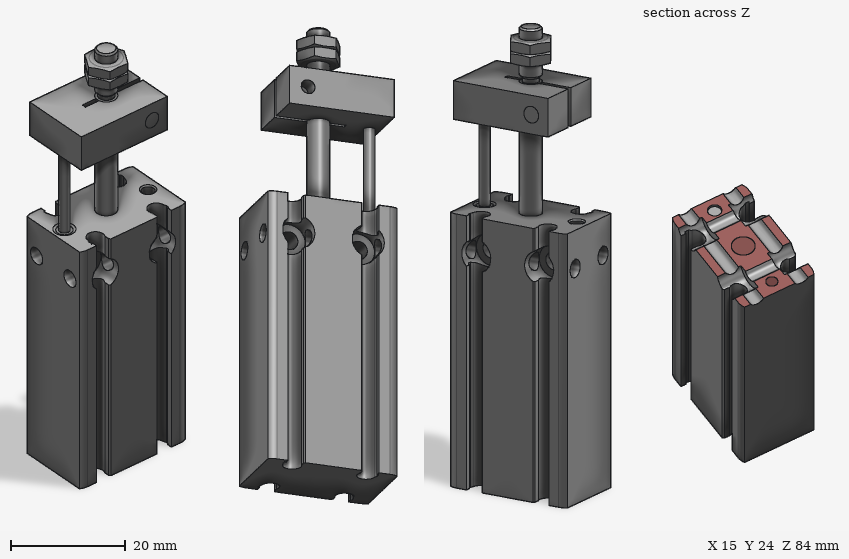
import cadquery as cq
import math

TOTAL_Z = 84.0

HOUSING_X = 15.0
HOUSING_Y = 24.0
HOUSING_Z = 50.0
CORNER_X = 0.4
CORNER_Y = 1.5

SLOT_DIA = 3.3
SLOT_Y = 6.9
SLOT_AXIS_DEPTH = 2.2
MOUTH_INNER_Y = 5.5
MOUTH_OUTER_Y = 8.5
UNDERCUT_START = 1.0
UNDERCUT_FLAT_END = 1.7
UNDERCUT_END = 2.4
UNDERCUT_Y = 8.7
LIP_BEVEL_X = 0.3
LIP_BEVEL_Y = 0.25

MOUNT_DROP = 7.0
MOUNT_DIA = 3.3
SIDE_HOLE_Y = 6.5
FRONT_HOLE_X = 4.5
COUNTERBORE_DIA = 6.0
COUNTERBORE_DEPTH = 4.8

TOP_HOLE_Y = 9.5
TOP_HOLE_DEPTH = 8.4
THREAD_HOLE_DIA = 2.4
THREAD_MOUTH_DIA = 3.0
THREAD_MOUTH_DEPTH = 0.25
GUIDE_DIA = 2.0
GUIDE_MOUTH_DIA = 4.0
GUIDE_FLOOR_DIA = 3.0
GUIDE_MOUTH_DEPTH = 0.2

PLATE_GAP = 17.0
PLATE_X = 14.0
PLATE_Z = 7.05
PLATE_FRONT = 11.5
PLATE_BACK = 8.0
SLIT_WIDTH = 0.8
SLIT_FRONT = 5.0

SCREW_Y = 4.5
SCREW_DIA = 3.0
SCREW_TIP_DIA = 2.5
SCREW_RECESS = 3.4

ROD_DIA = 4.0
ROD_INSERTION = 8.4
NECK_DIA = 3.0
NECK_LENGTH = 0.75
ROD_TIP_CHAMFER = 0.3

NUT_COUNT = 2
NUT_SIDES = 6
NUT_FLATS = 7.0
NUT_THICKNESS = 2.2
NUT_FACE_DIA = 6.0
NUT_CHAMFER_ANGLE = 15
NUT_CLEARANCE = 3.6

FACE_X = HOUSING_X / 2
FACE_Y = HOUSING_Y / 2
MOUNT_Z = HOUSING_Z - MOUNT_DROP
PLATE_BOTTOM = HOUSING_Z + PLATE_GAP
PLATE_TOP = PLATE_BOTTOM + PLATE_Z
SCREW_Z = PLATE_BOTTOM + PLATE_Z / 2
ROD_BOTTOM = HOUSING_Z - ROD_INSERTION
GUIDE_BOTTOM = HOUSING_Z - TOP_HOLE_DEPTH


def cylinder_x(dia, start, end, y, z):
    return cq.Workplane("YZ", origin=(start, y, z)).circle(dia / 2).extrude(end - start)


def cylinder_y(dia, start, end, x, z):
    return cq.Workplane("XZ", origin=(x, start, z)).circle(dia / 2).extrude(start - end)


def cylinder_z(dia, bottom, top, x=0, y=0):
    return cq.Workplane("XY", origin=(x, y, bottom)).circle(dia / 2).extrude(top - bottom)


def turned(profile):
    """Solid of revolution about Z from (radius, z) points."""
    return cq.Workplane("XZ").polyline(profile).close().revolve(360, (0, 0, 0), (0, 1, 0))


def housing_block():
    arc_radius = (CORNER_X**2 + CORNER_Y**2) / (2 * CORNER_X)
    half_angle = math.asin(CORNER_Y / arc_radius) / 2
    arc_start_y = FACE_Y - CORNER_Y
    arc_middle = (
        FACE_X - arc_radius * (1 - math.cos(half_angle)),
        arc_start_y + arc_radius * math.sin(half_angle),
    )
    quarter = (
        cq.Workplane("XY")
        .lineTo(FACE_X, 0)
        .lineTo(FACE_X, arc_start_y)
        .threePointArc(arc_middle, (FACE_X - CORNER_X, FACE_Y))
        .lineTo(0, FACE_Y)
        .close()
        .extrude(HOUSING_Z)
    )
    half = quarter.union(quarter.mirror("YZ"))
    return half.union(half.mirror("XZ")).clean()


def sensor_slot():
    """The slot on the +X side toward +Y: a mouth with an undercut outer wall, ending in a round channel."""
    axis_x = FACE_X - SLOT_AXIS_DEPTH
    mouth = (
        cq.Workplane("XY")
        .polyline([
            (axis_x, MOUTH_INNER_Y),
            (FACE_X - LIP_BEVEL_X, MOUTH_INNER_Y),
            (FACE_X, MOUTH_INNER_Y - LIP_BEVEL_Y),
            (FACE_X, MOUTH_OUTER_Y),
            (FACE_X - UNDERCUT_START, MOUTH_OUTER_Y),
            (FACE_X - UNDERCUT_START, UNDERCUT_Y),
            (FACE_X - UNDERCUT_FLAT_END, UNDERCUT_Y),
            (FACE_X - UNDERCUT_END, MOUTH_OUTER_Y),
        ])
        .close()
        .extrude(HOUSING_Z)
    )
    return mouth.union(cylinder_z(SLOT_DIA, 0, HOUSING_Z, axis_x, SLOT_Y))


def side_counterbore():
    """The counterbore on the +X side toward +Y."""
    return cylinder_x(COUNTERBORE_DIA, FACE_X - COUNTERBORE_DEPTH, FACE_X, SIDE_HOLE_Y, MOUNT_Z)


def four_corners(cutter):
    pair = [cutter, cutter.mirror("YZ")]
    return pair + [item.mirror("XZ") for item in pair]


def mounting_holes():
    holes = []
    for side in (-1, 1):
        holes.append(cylinder_x(MOUNT_DIA, -FACE_X, FACE_X, side * SIDE_HOLE_Y, MOUNT_Z))
        holes.append(cylinder_y(MOUNT_DIA, -FACE_Y, FACE_Y, side * FRONT_HOLE_X, MOUNT_Z))
    return holes


def thread_hole():
    bottom = HOUSING_Z - TOP_HOLE_DEPTH
    hole = turned([
        (0, bottom),
        (THREAD_HOLE_DIA / 2, bottom),
        (THREAD_HOLE_DIA / 2, HOUSING_Z - THREAD_MOUTH_DEPTH),
        (THREAD_MOUTH_DIA / 2, HOUSING_Z),
        (0, HOUSING_Z),
    ])
    return hole.translate((0, TOP_HOLE_Y, 0))


def guide_hole():
    """A close hole for the guide rod, below a shallow flat-floored countersink."""
    floor_z = HOUSING_Z - GUIDE_MOUTH_DEPTH
    countersink = turned([
        (0, floor_z),
        (GUIDE_FLOOR_DIA / 2, floor_z),
        (GUIDE_MOUTH_DIA / 2, HOUSING_Z),
        (0, HOUSING_Z),
    ])
    return countersink.union(cylinder_z(GUIDE_DIA, GUIDE_BOTTOM, HOUSING_Z)).translate((0, -TOP_HOLE_Y, 0))


def make_housing():
    housing = housing_block()
    cutters = four_corners(sensor_slot()) + four_corners(side_counterbore()) + mounting_holes()
    cutters += [thread_hole(), guide_hole(), cylinder_z(ROD_DIA, ROD_BOTTOM, HOUSING_Z)]
    for cutter in cutters:
        housing = housing.cut(cutter)
    return housing


def make_screw():
    tip_start = SCREW_RECESS - PLATE_X / 2
    shank_start = -SLIT_WIDTH / 2
    tip = cylinder_x(SCREW_TIP_DIA, tip_start, shank_start, SCREW_Y, SCREW_Z)
    shank = cylinder_x(SCREW_DIA, shank_start, PLATE_X / 2, SCREW_Y, SCREW_Z)
    return tip.union(shank)


def plate_slab(width, front):
    """A slab as thick as the plate, from the given distance in front of the rod to the plate's back."""
    corner = (0, -front, PLATE_BOTTOM)
    return cq.Workplane("XY", origin=corner).box(width, front + PLATE_BACK, PLATE_Z, (True, False, False))


def make_plate(screw):
    plate = plate_slab(PLATE_X, PLATE_FRONT)
    slit = plate_slab(SLIT_WIDTH, SLIT_FRONT)
    rod_hole = cylinder_z(ROD_DIA, PLATE_BOTTOM, PLATE_TOP)
    tip_hole = cylinder_x(SCREW_TIP_DIA, -PLATE_X / 2, 0, SCREW_Y, SCREW_Z)
    return plate.cut(slit).cut(rod_hole).cut(tip_hole).cut(screw)


def make_piston_rod():
    neck_top = PLATE_TOP + NECK_LENGTH
    neck_step = (ROD_DIA - NECK_DIA) / 2
    return turned([
        (0, ROD_BOTTOM),
        (ROD_DIA / 2, ROD_BOTTOM),
        (ROD_DIA / 2, PLATE_TOP),
        (NECK_DIA / 2, PLATE_TOP),
        (NECK_DIA / 2, neck_top),
        (ROD_DIA / 2, neck_top + neck_step),
        (ROD_DIA / 2, TOTAL_Z - ROD_TIP_CHAMFER),
        (ROD_DIA / 2 - ROD_TIP_CHAMFER, TOTAL_Z),
        (0, TOTAL_Z),
    ])


def make_guide_rod():
    return cylinder_z(GUIDE_DIA, GUIDE_BOTTOM, PLATE_BOTTOM, 0, -TOP_HOLE_Y)


def make_nut(bottom):
    top = bottom + NUT_THICKNESS
    corner_radius = NUT_FLATS / 2 / math.cos(math.pi / NUT_SIDES)
    face_radius = NUT_FACE_DIA / 2
    rise = (corner_radius - face_radius) * math.tan(math.radians(NUT_CHAMFER_ANGLE))
    hexagon = (
        cq.Workplane("XY", origin=(0, 0, bottom))
        .polygon(NUT_SIDES, 2 * corner_radius)
        .extrude(NUT_THICKNESS)
        .rotate((0, 0, 0), (0, 0, 1), 180 / NUT_SIDES)
    )
    chamfered_disc = turned([
        (0, bottom),
        (face_radius, bottom),
        (corner_radius, bottom + rise),
        (corner_radius, top - rise),
        (face_radius, top),
        (0, top),
    ])
    return hexagon.intersect(chamfered_disc).cut(cylinder_z(ROD_DIA, bottom, top))


housing = make_housing()
piston_rod = make_piston_rod()
guide_rod = make_guide_rod()
clamp_screw = make_screw()
clamp_plate = make_plate(clamp_screw)
nuts = [make_nut(PLATE_TOP + NUT_CLEARANCE + i * NUT_THICKNESS) for i in range(NUT_COUNT)]

result = cq.Compound.makeCompound([
    housing.val(),
    piston_rod.val(),
    guide_rod.val(),
    clamp_screw.val(),
    clamp_plate.val(),
    *[nut.val() for nut in nuts],
])